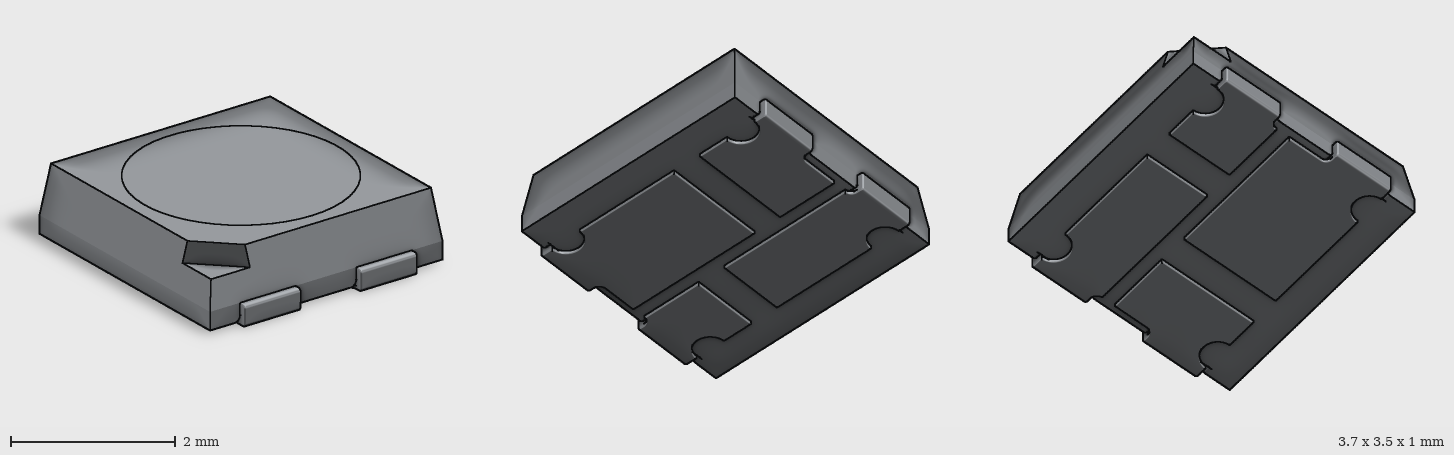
import cadquery as cq
import math

HOUSING_SIDE = 3.5
TOP_SIDE = 3.3
HEIGHT = 1.0
PLINTH_TOP = 0.3

LENS_DIAMETER = 2.9
LENS_DEPTH = 0.5

MARK_FLOOR = 0.7
MARK_LEG = 0.5

OVERALL_LENGTH = 3.7
PAD_THICKNESS = 0.05
TAB_INNER_Y = 0.45
TAB_OUTER_Y = 1.3
TAB_BEND_RADIUS = 0.05
EDGE_RADIUS = 0.02
SHOULDER_RADIUS = 0.1
SCALLOP_RADIUS = 0.225
SCALLOP_X = 1.435

ROOT_TOP = 0.13
ROOT_LENGTH = SHOULDER_RADIUS
SLOT_LIP_RADIUS = ROOT_TOP - PAD_THICKNESS

LONG_PAD_END = -0.34
SHORT_PAD_END = 0.76
FRONT_PAD_EDGE = 0.35
BACK_PAD_EDGE = -0.15

WALL_X = HOUSING_SIDE / 2
TAB_WIDTH = TAB_OUTER_Y - TAB_INNER_Y
TAB_CENTER_Y = (TAB_OUTER_Y + TAB_INNER_Y) / 2
ROOT_INNER_X = WALL_X - ROOT_LENGTH

LEADS = [
    (-1, -1, LONG_PAD_END, FRONT_PAD_EDGE),
    (1, -1, SHORT_PAD_END, FRONT_PAD_EDGE),
    (-1, 1, SHORT_PAD_END, BACK_PAD_EDGE),
    (1, 1, LONG_PAD_END, BACK_PAD_EDGE),
]


def to_quadrant(shape, x_side, y_side):
    """Mirror a shape made in the +X +Y quadrant into the wanted quadrant."""
    if x_side < 0:
        shape = shape.mirror("YZ")
    if y_side < 0:
        shape = shape.mirror("XZ")
    return shape


def make_lens():
    return (
        cq.Workplane("XY", origin=(0, 0, HEIGHT - LENS_DEPTH))
        .circle(LENS_DIAMETER / 2)
        .extrude(LENS_DEPTH)
    )


def make_slot():
    """Slot for a lead root, with convex rounded lips along its lower edges."""
    lip = SLOT_LIP_RADIUS
    lip_mid = lip * (1 - math.sqrt(0.5))
    mid_z = PAD_THICKNESS + lip_mid
    return (
        cq.Workplane("YZ", origin=(ROOT_INNER_X, 0, 0))
        .moveTo(TAB_INNER_Y - lip, PAD_THICKNESS)
        .threePointArc((TAB_INNER_Y - lip_mid, mid_z), (TAB_INNER_Y, ROOT_TOP))
        .lineTo(TAB_OUTER_Y, ROOT_TOP)
        .threePointArc((TAB_OUTER_Y + lip_mid, mid_z), (TAB_OUTER_Y + lip, PAD_THICKNESS))
        .close()
        .extrude(ROOT_LENGTH)
    )


def make_polarity_cut():
    """Triangular prism at the +X -Y corner, reaching past the tapered walls."""
    corner = HOUSING_SIDE / 2
    leg = MARK_LEG + HOUSING_SIDE - TOP_SIDE
    return (
        cq.Workplane("XY", origin=(0, 0, MARK_FLOOR))
        .polyline([(corner, -corner), (corner - leg, -corner), (corner, leg - corner)])
        .close()
        .extrude(HEIGHT - MARK_FLOOR)
    )


def make_housing():
    plinth = (
        cq.Workplane("XY", origin=(0, 0, PAD_THICKNESS))
        .rect(HOUSING_SIDE, HOUSING_SIDE)
        .extrude(PLINTH_TOP - PAD_THICKNESS)
    )
    upper = (
        cq.Workplane("XY", origin=(0, 0, PLINTH_TOP))
        .rect(HOUSING_SIDE, HOUSING_SIDE)
        .workplane(offset=HEIGHT - PLINTH_TOP)
        .rect(TOP_SIDE, TOP_SIDE)
        .loft(ruled=True)
    )
    body = plinth.union(upper).cut(make_polarity_cut()).cut(make_lens())
    for x_side, y_side, _, _ in LEADS:
        body = body.cut(to_quadrant(make_slot(), x_side, y_side))
    return body


def make_pad(pad_end, pad_edge):
    """Flat pad: tab-wide at the wall, then widened inwards past a concave shoulder."""
    shoulder_y = TAB_INNER_Y - SHOULDER_RADIUS
    shoulder_mid = SHOULDER_RADIUS * math.sqrt(0.5)
    outline = (
        cq.Workplane("XY")
        .moveTo(WALL_X, TAB_OUTER_Y)
        .lineTo(WALL_X, TAB_INNER_Y)
        .threePointArc(
            (WALL_X - shoulder_mid, shoulder_y + shoulder_mid),
            (ROOT_INNER_X, shoulder_y),
        )
    )
    if pad_edge < shoulder_y:
        outline = outline.lineTo(ROOT_INNER_X, pad_edge)
    return (
        outline.lineTo(pad_end, pad_edge)
        .lineTo(pad_end, TAB_OUTER_Y)
        .lineTo(SCALLOP_X - SCALLOP_RADIUS, TAB_OUTER_Y)
        .threePointArc(
            (SCALLOP_X, TAB_OUTER_Y - SCALLOP_RADIUS),
            (SCALLOP_X + SCALLOP_RADIUS, TAB_OUTER_Y),
        )
        .close()
        .extrude(PAD_THICKNESS)
    )


def make_lead(x_side, y_side, pad_end, pad_edge):
    tab_thickness = OVERALL_LENGTH / 2 - WALL_X
    tab = (
        cq.Workplane("XY", origin=(WALL_X + tab_thickness / 2, TAB_CENTER_Y, 0))
        .rect(tab_thickness, TAB_WIDTH)
        .extrude(PLINTH_TOP)
        .faces(">X")
        .edges("|Y")
        .fillet(TAB_BEND_RADIUS)
    )
    root = (
        cq.Workplane("XY", origin=(WALL_X - ROOT_LENGTH / 2, TAB_CENTER_Y, PAD_THICKNESS))
        .rect(ROOT_LENGTH, TAB_WIDTH)
        .extrude(ROOT_TOP - PAD_THICKNESS)
    )
    lead = tab.union(root).union(make_pad(pad_end, pad_edge))
    outside_tab = cq.selectors.BoxSelector(
        (WALL_X + EDGE_RADIUS, 0, -PLINTH_TOP),
        (OVERALL_LENGTH, HOUSING_SIDE, 2 * PLINTH_TOP),
    )
    underside = lead.faces("<Z").edges()
    tab_ends = lead.edges(outside_tab).edges("not |Y")
    lead = lead.newObject(underside.vals() + tab_ends.vals()).fillet(EDGE_RADIUS)
    return to_quadrant(lead, x_side, y_side)


housing = make_housing()
lens = make_lens()
leads = [make_lead(*placement) for placement in LEADS]

result = cq.Compound.makeCompound([housing.val(), lens.val(), *[lead.val() for lead in leads]])